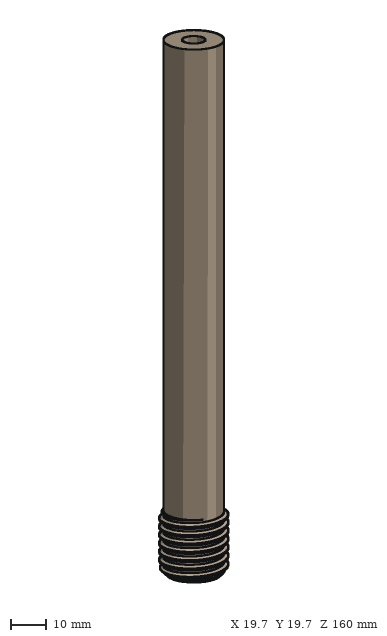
import cadquery as cq
import math

length = 160.0
shaft_radius = 17.3 / 2
bore_radius = 6.5 / 2

thread_radius = 19.7 / 2
thread_length = 19.0
pitch = 2.5
crest_width = 0.3
flank_angle = math.radians(30)
crest_height_at_x = 0.13
root_overlap = 0.2

tip_radius = 7.7
trim_length = 5 * pitch
spare_length = 3 * pitch


def thread_ridge():
    """Helical ridge that extends past both ends of the thread."""
    root_radius = shaft_radius - root_overlap
    half_crest = crest_width / 2
    half_root = half_crest + (thread_radius - root_radius) * math.tan(flank_angle)
    start_height = crest_height_at_x - pitch
    turns = math.ceil((thread_length - start_height) / pitch) + 1
    helix = cq.Wire.makeHelix(pitch, turns * pitch, root_radius, cq.Vector(0, 0, start_height))
    profile = [
        (root_radius, start_height - half_root),
        (thread_radius, start_height - half_crest),
        (thread_radius, start_height + half_crest),
        (root_radius, start_height + half_root),
    ]
    return cq.Workplane("XZ").polyline(profile).close().sweep(cq.Workplane(helix), isFrenet=True)


def end_trim(cone_radius, end_height, outward):
    """Ring outside a 45 degree cone that narrows to cone_radius at end_height.

    It also takes everything beyond end_height. outward is +1 for an upper end, -1 for a lower end.
    """
    outer_radius = 2 * thread_radius
    inner_height = end_height - outward * (outer_radius - cone_radius)
    outer_height = end_height + outward * trim_length
    outline = [
        (cone_radius, end_height),
        (outer_radius, inner_height),
        (outer_radius, outer_height),
        (0, outer_height),
        (0, end_height),
    ]
    return cq.Workplane("XZ").polyline(outline).close().revolve(360, (0, 0, 0), (0, 1, 0))


thread = thread_ridge().cut(end_trim(shaft_radius, thread_length, 1))

shaft = cq.Workplane("XY").circle(shaft_radius).extrude(spare_length + length)
shaft = shaft.translate((0, 0, -spare_length))
threaded_shaft = shaft.union(thread).cut(end_trim(tip_radius, 0, -1))

bore = cq.Workplane("XY").circle(bore_radius).extrude(length)
result = threaded_shaft.cut(bore)